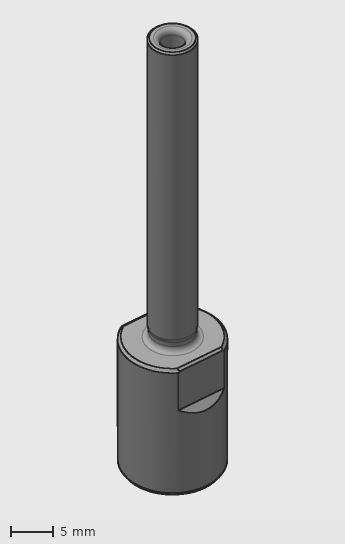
import cadquery as cq

total_height = 64
head_height = 19.0
head_radius = 13.0 / 2
tube_radius = 6.0 / 2
bore_radius = 3.0 / 2

head_base_chamfer_width = 0.4
head_base_chamfer_height = 0.6
head_top_chamfer = 0.4
flat_chamfer_width = 0.4
flat_chamfer_height = 0.25
tube_end_chamfer = 0.25
bore_mouth_rounding = 0.8

neck_radius = 5.7 / 2
relief_arc_radius = 0.8
relief_neck_length = 0.6
relief_taper_length = 0.6

flat_distance = 11.0 / 2
flat_bottom = 13.0


def turned_body():
    """Head, relief neck and tube as one revolved profile."""
    neck_bottom = head_height + relief_arc_radius
    neck_top = neck_bottom + relief_neck_length
    arc_offset = relief_arc_radius * (1 - 0.5 ** 0.5)
    return (
        cq.Workplane("XZ")
        .moveTo(0, 0)
        .lineTo(head_radius - head_base_chamfer_width, 0)
        .lineTo(head_radius, head_base_chamfer_height)
        .lineTo(head_radius, head_height - head_top_chamfer)
        .lineTo(head_radius - head_top_chamfer, head_height)
        .lineTo(neck_radius + relief_arc_radius, head_height)
        .threePointArc(
            (neck_radius + arc_offset, head_height + arc_offset),
            (neck_radius, neck_bottom),
        )
        .lineTo(neck_radius, neck_top)
        .lineTo(tube_radius, neck_top + relief_taper_length)
        .lineTo(tube_radius, total_height - tube_end_chamfer)
        .lineTo(tube_radius - tube_end_chamfer, total_height)
        .lineTo(0, total_height)
        .close()
        .revolve(360, (0, 0, 0), (0, 1, 0))
    )


def bore():
    """Through bore with a rounded mouth at the tube end."""
    arc_offset = bore_mouth_rounding * (1 - 0.5 ** 0.5)
    return (
        cq.Workplane("XZ")
        .moveTo(0, 0)
        .lineTo(bore_radius, 0)
        .lineTo(bore_radius, total_height - bore_mouth_rounding)
        .threePointArc(
            (bore_radius + arc_offset, total_height - arc_offset),
            (bore_radius + bore_mouth_rounding, total_height),
        )
        .lineTo(0, total_height)
        .close()
        .revolve(360, (0, 0, 0), (0, 1, 0))
    )


def flat_cutter(side):
    """Wrench flat on one side (+1 or -1 along X), with a 45 degree run-out and a top chamfer."""
    run_out = head_radius - flat_distance
    profile = [
        (flat_distance - flat_chamfer_width, head_height),
        (flat_distance, head_height - flat_chamfer_height),
        (flat_distance, flat_bottom),
        (head_radius, flat_bottom - run_out),
        (head_radius, head_height),
    ]
    return (
        cq.Workplane("XZ")
        .polyline([(side * x, z) for x, z in profile])
        .close()
        .extrude(head_radius, both=True)
    )


result = turned_body().cut(bore())
for side in (-1, 1):
    result = result.cut(flat_cutter(side))